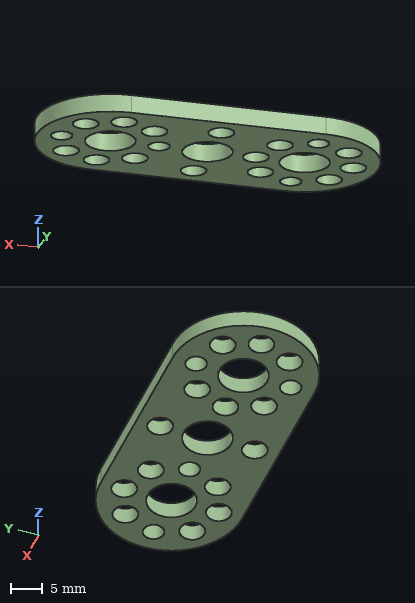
import cadquery as cq
import math

length = 56.0
width = 24.0
thickness = 3.0
end_offset = (length - width) / 2

bore_diameter = 8.0
large_hole_diameter = 4.1
small_hole_diameter = 3.4
ring_radius = width / 3

diagonal_angles = [45, 135, 225, 315]
side_angles = [90, 270]
axial_angles = [0, 180]


def ring_points(center_x, angles):
    """Points on the hole circle around a bore centred on the X axis."""
    return [
        (
            center_x + ring_radius * math.cos(math.radians(angle)),
            ring_radius * math.sin(math.radians(angle)),
        )
        for angle in angles
    ]


def drill(plate, points, diameter):
    """Cut through holes at the given points."""
    return plate.faces(">Z").workplane(origin=(0, 0, 0)).pushPoints(points).hole(diameter)


plate = cq.Workplane("XY").slot2D(length, width).extrude(thickness)

bore_centers = [(x, 0) for x in (-end_offset, 0, end_offset)]
plate = drill(plate, bore_centers, bore_diameter)

small_points = ring_points(-end_offset, side_angles) + ring_points(end_offset, axial_angles)
plate = drill(plate, small_points, small_hole_diameter)

large_points = (
    ring_points(-end_offset, axial_angles + diagonal_angles)
    + ring_points(0, side_angles)
    + ring_points(end_offset, side_angles + diagonal_angles)
)
plate = drill(plate, large_points, large_hole_diameter)

result = plate